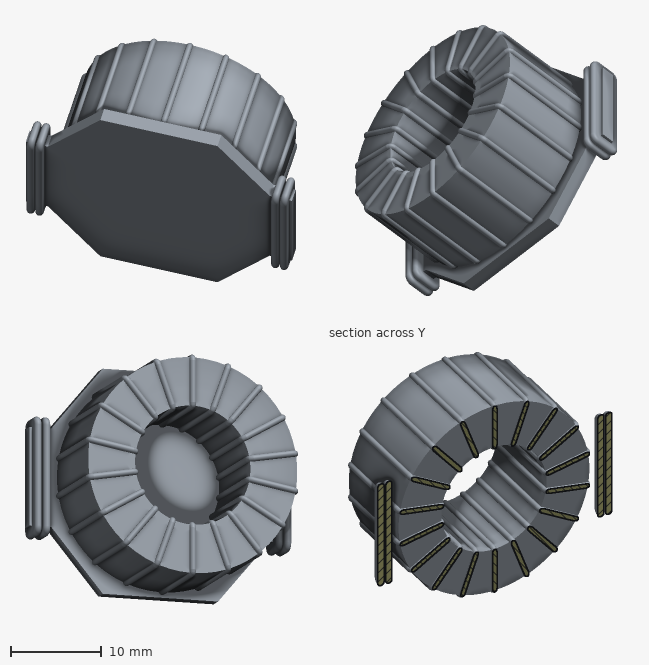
import cadquery as cq

BASE_LENGTH = 30.5
OCTAGON_SIZE = 25.4
OCTAGON_TOP_FLAT = 13.42
TAB_HEIGHT = 11.13
PLATE_THICKNESS = 1.6

TERMINALS_PER_TAB = 2
TERMINAL_THICKNESS = 0.85
TERMINAL_PITCH = 1.0
TERMINAL_OVERHANG = 1.15
TERMINAL_CORNER_RADIUS = 1.0
TAB_END_MARGIN = 0.3

CORE_OUTER_RADIUS = 12.17
CORE_INNER_RADIUS = 6.7
CORE_DEPTH = 11.0
TURN_COUNT = 18
WIRE_RADIUS = 0.37

PLATE_BACK = PLATE_THICKNESS / 2
CORE_FRONT = PLATE_BACK + WIRE_RADIUS
CORE_MIDDLE = CORE_FRONT + CORE_DEPTH / 2


def round_edged_slab(width, height, thickness, corner_radius):
    """Slab in the XY plane, centred on the origin, with rounded corners and a half-round rim."""
    rim_radius = thickness / 2
    bend = corner_radius - rim_radius
    x = width / 2 - rim_radius
    y = height / 2 - rim_radius
    centre_line = (
        cq.Workplane("XY")
        .moveTo(0, -y)
        .lineTo(x - bend, -y)
        .radiusArc((x, bend - y), -bend)
        .lineTo(x, y - bend)
        .radiusArc((x - bend, y), -bend)
        .lineTo(bend - x, y)
        .radiusArc((-x, y - bend), -bend)
        .lineTo(-x, bend - y)
        .radiusArc((bend - x, -y), -bend)
        .close()
    )
    rim = cq.Workplane("YZ", origin=(0, -y, 0)).circle(rim_radius).sweep(centre_line)
    web = centre_line.extrude(rim_radius, both=True)
    return rim.union(web)


def make_plate():
    """Octagonal plate with its two tabs."""
    half_size = OCTAGON_SIZE / 2
    half_flat = OCTAGON_TOP_FLAT / 2
    half_tab = TAB_HEIGHT / 2
    octagon = (
        cq.Workplane("XZ")
        .polyline([
            (half_flat, half_size),
            (half_size, half_tab),
            (half_size, -half_tab),
            (half_flat, -half_size),
            (-half_flat, -half_size),
            (-half_size, -half_tab),
            (-half_size, half_tab),
            (-half_flat, half_size),
        ])
        .close()
        .extrude(PLATE_THICKNESS / 2, both=True)
    )
    tabs = cq.Workplane("XY").box(BASE_LENGTH, PLATE_THICKNESS, TAB_HEIGHT)
    return octagon.union(tabs)


def make_base():
    """Plate with the terminal windings around its tabs."""
    terminal = round_edged_slab(
        TAB_HEIGHT + 2 * TERMINAL_OVERHANG,
        PLATE_THICKNESS + 2 * TERMINAL_OVERHANG,
        TERMINAL_THICKNESS,
        TERMINAL_CORNER_RADIUS,
    ).rotate((0, 0, 0), (0, 1, 0), 90)
    outermost_x = BASE_LENGTH / 2 - TAB_END_MARGIN - TERMINAL_THICKNESS / 2
    base = make_plate()
    for side in (-1, 1):
        for index in range(TERMINALS_PER_TAB):
            x = side * (outermost_x - index * TERMINAL_PITCH)
            base = base.union(terminal.translate((x, 0, 0)))
    return base


def make_wound_core():
    """Ring core, axis along Y, with evenly spaced turns; the first turn is at the top."""
    core = (
        cq.Workplane("XZ", origin=(0, CORE_MIDDLE, 0))
        .circle(CORE_OUTER_RADIUS)
        .circle(CORE_INNER_RADIUS)
        .extrude(CORE_DEPTH / 2, both=True)
    )
    turn = (
        round_edged_slab(
            CORE_OUTER_RADIUS - CORE_INNER_RADIUS + 2 * WIRE_RADIUS,
            CORE_DEPTH + 2 * WIRE_RADIUS,
            2 * WIRE_RADIUS,
            2 * WIRE_RADIUS,
        )
        .rotate((0, 0, 0), (0, 1, 0), 90)
        .translate((0, CORE_MIDDLE, (CORE_OUTER_RADIUS + CORE_INNER_RADIUS) / 2))
    )
    for index in range(TURN_COUNT):
        angle = index * 360 / TURN_COUNT
        core = core.union(turn.rotate((0, 0, 0), (0, 1, 0), angle))
    return core


base = make_base()
wound_core = make_wound_core()
result = cq.Compound.makeCompound([base.solids().val(), wound_core.solids().val()])